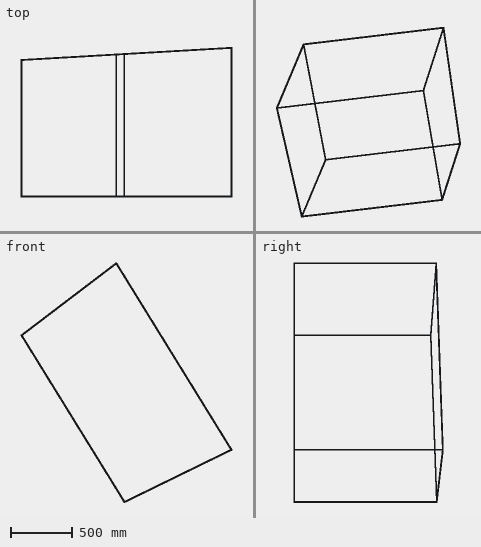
import cadquery as cq

width = 1720.0
height = 1955.0
depth_left = 1119.0
depth_right = 1219.0

left_corner = (0, 1365.0)
top_corner = (777.0, height)
right_corner = (width, 428.0)
bottom_corner = (843.0, 0)


def tilted_prism():
    """Four-sided profile extruded along +Y to the greatest depth."""
    corners = [left_corner, top_corner, right_corner, bottom_corner]
    return cq.Workplane("XZ").polyline(corners).close().extrude(-depth_right)


def tapered_envelope():
    """Block whose back face slopes evenly from the left depth to the right depth."""
    plan = [(0, 0), (width, 0), (width, depth_right), (0, depth_left)]
    return cq.Workplane("XY").polyline(plan).close().extrude(height)


result = tilted_prism().intersect(tapered_envelope())